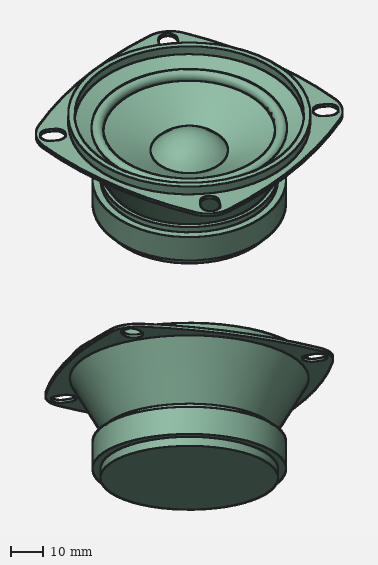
import cadquery as cq
import math

TOTAL_HEIGHT = 37.0
BACK_PLATE_THICKNESS = 3.0
MAGNET_THICKNESS = 9.0
FRONT_PLATE_THICKNESS = 2.0
RIM_HEIGHT = 3.0
FLANGE_THICKNESS = 1.0

MAGNET_BOTTOM = BACK_PLATE_THICKNESS
MAGNET_TOP = MAGNET_BOTTOM + MAGNET_THICKNESS
BASKET_BOTTOM = MAGNET_TOP + FRONT_PLATE_THICKNESS
FLANGE_TOP = TOTAL_HEIGHT - RIM_HEIGHT
FLANGE_BOTTOM = FLANGE_TOP - FLANGE_THICKNESS

PLATE_RADIUS = 27.5
MAGNET_RADIUS = 30.0
BASKET_BOTTOM_RADIUS = 26.0
BASKET_TOP_RADIUS = 37.0
RIM_OUTER_RADIUS = 37.5
RIM_INNER_RADIUS = 35.5

DUST_CAP_RADIUS = 12.0
DUST_CAP_HEIGHT = 5.7
CONE_DEPTH = 10.7
CONE_BULGE = 0.4
CONE_BOTTOM = FLANGE_TOP - CONE_DEPTH
SURROUND_RADIUS = 28.5
SURROUND_ROLL_RADIUS = 2.0
SURROUND_CENTRE_HEIGHT = 31.0

FLANGE_WIDTH = 80.0
FLANGE_SIDE_RADIUS = 125.0
FLANGE_CORNER_RADIUS = 10.0

SLOT_LENGTH = 8.0
SLOT_WIDTH = 6.0
SLOT_CENTRE_DISTANCE = 42.7

FULL_TURN = 360
SIDE_COUNT = 4
QUARTER_TURN = FULL_TURN / SIDE_COUNT
FIRST_DIAGONAL = QUARTER_TURN / 2


def make_body():
    """Turn the magnet, basket, rim, cone and dust cap from one half section."""
    cone_middle = (
        (RIM_INNER_RADIUS + DUST_CAP_RADIUS) / 2,
        (FLANGE_TOP + CONE_BOTTOM) / 2 + CONE_BULGE,
    )
    cap_top = CONE_BOTTOM + DUST_CAP_HEIGHT
    cap_sphere_radius = (DUST_CAP_RADIUS**2 + DUST_CAP_HEIGHT**2) / (2 * DUST_CAP_HEIGHT)
    cap_middle_radius = DUST_CAP_RADIUS / 2
    cap_middle = (
        cap_middle_radius,
        cap_top - cap_sphere_radius + math.sqrt(cap_sphere_radius**2 - cap_middle_radius**2),
    )
    half_section = (
        cq.Workplane("XZ")
        .moveTo(0, 0)
        .lineTo(PLATE_RADIUS, 0)
        .lineTo(PLATE_RADIUS, MAGNET_BOTTOM)
        .lineTo(MAGNET_RADIUS, MAGNET_BOTTOM)
        .lineTo(MAGNET_RADIUS, MAGNET_TOP)
        .lineTo(PLATE_RADIUS, MAGNET_TOP)
        .lineTo(PLATE_RADIUS, BASKET_BOTTOM)
        .lineTo(BASKET_BOTTOM_RADIUS, BASKET_BOTTOM)
        .lineTo(BASKET_TOP_RADIUS, FLANGE_BOTTOM)
        .lineTo(RIM_OUTER_RADIUS, FLANGE_BOTTOM)
        .lineTo(RIM_OUTER_RADIUS, TOTAL_HEIGHT)
        .lineTo(RIM_INNER_RADIUS, TOTAL_HEIGHT)
        .lineTo(RIM_INNER_RADIUS, FLANGE_TOP)
        .threePointArc(cone_middle, (DUST_CAP_RADIUS, CONE_BOTTOM))
        .threePointArc(cap_middle, (0, cap_top))
        .close()
    )
    return half_section.revolve(FULL_TURN, (0, 0, 0), (0, 1, 0))


def make_surround():
    """Ring of round section that is sunk into the cone by about half its thickness."""
    return (
        cq.Workplane("XZ")
        .center(SURROUND_RADIUS, SURROUND_CENTRE_HEIGHT)
        .circle(SURROUND_ROLL_RADIUS)
        .revolve(FULL_TURN, (-SURROUND_RADIUS, 0, 0), (-SURROUND_RADIUS, 1, 0))
    )


def rotate_point(point, degrees):
    """Turn a point about the speaker axis."""
    angle = math.radians(degrees)
    x, y = point
    return (
        x * math.cos(angle) - y * math.sin(angle),
        x * math.sin(angle) + y * math.cos(angle),
    )


def flange_corner_points():
    """Where the +X side meets the +X +Y corner arc, and the middle of that corner arc.

    The corner centre lies on the diagonal at (c, c), and the distance between the
    two arc centres equals the difference of their radii, as both arcs are tangent.
    """
    side_centre_x = FLANGE_WIDTH / 2 - FLANGE_SIDE_RADIUS
    centre_distance = FLANGE_SIDE_RADIUS - FLANGE_CORNER_RADIUS
    corner_centre = (side_centre_x + math.sqrt(2 * centre_distance**2 - side_centre_x**2)) / 2
    reach = FLANGE_SIDE_RADIUS / centre_distance
    x = side_centre_x + (corner_centre - side_centre_x) * reach
    y = corner_centre * reach
    corner_tip = corner_centre + FLANGE_CORNER_RADIUS * math.cos(math.radians(FIRST_DIAGONAL))
    return (x, y), (corner_tip, corner_tip)


def make_flange():
    """Bowed square plate with round corners."""
    side_end, corner_tip = flange_corner_points()
    side_start = (side_end[0], -side_end[1])
    side_middle = (FLANGE_WIDTH / 2, 0)
    outline = cq.Workplane("XY").workplane(offset=FLANGE_BOTTOM).moveTo(*side_start)
    for side in range(SIDE_COUNT):
        turn = side * QUARTER_TURN
        outline = outline.threePointArc(rotate_point(side_middle, turn), rotate_point(side_end, turn))
        next_start = rotate_point(side_start, turn + QUARTER_TURN)
        outline = outline.threePointArc(rotate_point(corner_tip, turn), next_start)
    return outline.close().extrude(FLANGE_THICKNESS)


def make_slots():
    """Cutters for the mounting slots at the flange corners."""
    return (
        cq.Workplane("XY")
        .workplane(offset=FLANGE_BOTTOM)
        .polarArray(SLOT_CENTRE_DISTANCE, FIRST_DIAGONAL, FULL_TURN, SIDE_COUNT)
        .slot2D(SLOT_LENGTH, SLOT_WIDTH)
        .extrude(FLANGE_THICKNESS)
    )


def make_speaker():
    """Join the flange to the turned body without filling the bowl inside the rim."""
    rim_bore = (
        cq.Workplane("XY")
        .workplane(offset=FLANGE_BOTTOM)
        .circle(RIM_INNER_RADIUS)
        .extrude(FLANGE_THICKNESS)
    )
    flange_ring = make_flange().cut(make_slots()).cut(rim_bore)
    return make_body().union(flange_ring).union(make_surround())


result = make_speaker()